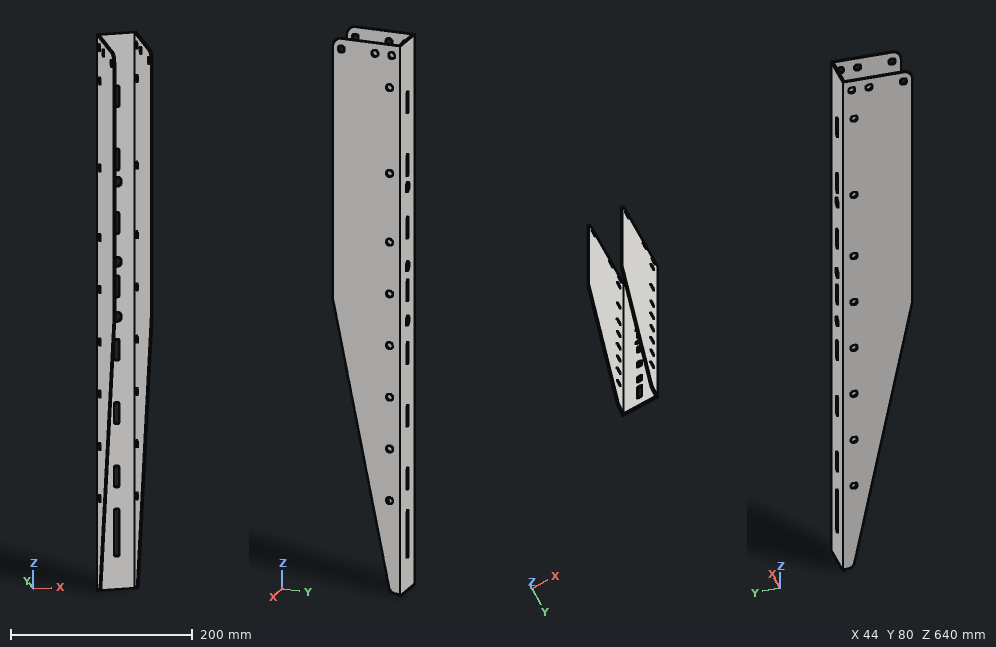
import cadquery as cq

length = 640.0
width = 44.0
depth = 80.0
wall = 2.0

taper_start = 303.5
toe_depth = 12.0
toe_gap = 2.0
corner_radius = 10.0
toe_radius = 8.0

slot_width = 6.0
slot_length = 25.0
slot_count = 7
first_slot = 72.0
slot_pitch = 73.0
long_slot_length = 55.0
long_slot_drop = 575.0
web_hole_diameter = 11.0
web_hole_drops = [171.0, 263.0, 326.5]

flange_hole_diameter = 8.0
top_row_drop = 12.0
top_row_setbacks = [10.0, 30.0, 70.0]
column_setback = 13.0
upper_column_drops = [50.0, 150.0]
lower_column_start = 230.0
lower_column_pitch = 60.0
lower_column_count = 6

back = depth / 2


def make_flange(left_x):
    """Tapered side plate with a rounded top corner and a rounded toe."""
    outline = [
        (back, toe_gap),
        (back, length),
        (back - depth, length),
        (back - depth, length - taper_start),
        (back - toe_depth, toe_gap),
    ]
    plate = cq.Workplane("YZ").polyline(outline).close().extrude(wall)
    plate = plate.edges("|X and <Y and >Z").fillet(corner_radius)
    toe_point = (0, back - toe_depth, toe_gap)
    plate = plate.edges("|X").edges(cq.selectors.NearestToPointSelector(toe_point)).fillet(toe_radius)
    return plate.translate((left_x, 0, 0))


def make_web():
    """Flat back plate joining the two flanges."""
    plate = cq.Workplane("XY").box(width, wall, length, centered=(True, False, False))
    return plate.translate((0, back - wall, 0))


def web_openings():
    """Cutters for the slots and round holes on the web centreline."""
    slot_points = [(0, length - first_slot - i * slot_pitch) for i in range(slot_count)]
    hole_points = [(0, length - drop) for drop in web_hole_drops]
    plane = cq.Workplane("XZ", origin=(0, back, 0))
    slots = plane.pushPoints(slot_points).slot2D(slot_length, slot_width, 90).extrude(wall)
    long_slot = plane.center(0, length - long_slot_drop)
    long_slot = long_slot.slot2D(long_slot_length, slot_width, 90).extrude(wall)
    holes = plane.pushPoints(hole_points).circle(web_hole_diameter / 2).extrude(wall)
    return [slots, long_slot, holes]


def flange_holes():
    """Cutter for the round holes passing through both flanges."""
    column_drops = upper_column_drops + [
        lower_column_start + i * lower_column_pitch for i in range(lower_column_count)
    ]
    points = [(back - setback, length - top_row_drop) for setback in top_row_setbacks]
    points += [(back - column_setback, length - drop) for drop in column_drops]
    plane = cq.Workplane("YZ", origin=(-width / 2, 0, 0))
    return plane.pushPoints(points).circle(flange_hole_diameter / 2).extrude(width)


result = make_web().union(make_flange(-width / 2)).union(make_flange(width / 2 - wall))
for cutter in web_openings():
    result = result.cut(cutter)
result = result.cut(flange_holes())